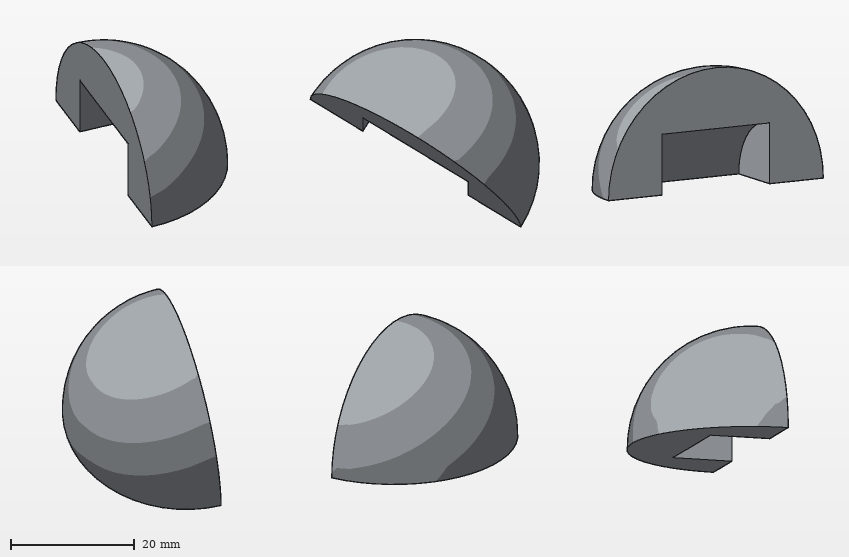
import cadquery as cq

sphere_radius = 20.0
groove_radius = sphere_radius / 2
groove_length = sphere_radius


def quarter_sphere():
    """Quarter ball filling +Y and +Z, with flat faces on Y = 0 and Z = 0."""
    ball = cq.Workplane("XY").sphere(sphere_radius)
    quadrant = cq.Workplane("XY").box(
        2 * sphere_radius, sphere_radius, sphere_radius, centered=(True, False, False)
    )
    return ball.intersect(quadrant)


def groove_cutter():
    """Cylinder along X, centred on the edge where the two flat faces meet."""
    start_plane = cq.Workplane("YZ").workplane(offset=-groove_length / 2)
    return start_plane.circle(groove_radius).extrude(groove_length)


result = quarter_sphere().cut(groove_cutter())